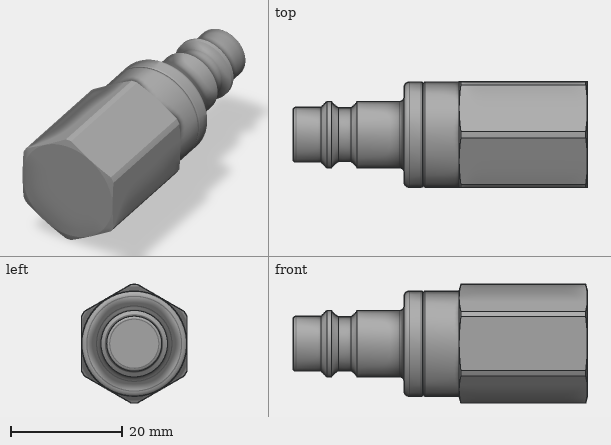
import cadquery as cq
import math

total_length = 53.0

tip_diameter = 9.9
tip_round = 0.55
plug_diameter = 12.0
neck_diameter = 9.75
tip_end = 5.05
rib_start = 6.1
rib_end = 6.9
neck_start = 8.15
neck_end = 10.45
plug_start = 11.55
shoulder_hollow = 0.1

collar_diameter = 19.0
collar_start = 20.0
collar_round = 0.95
plug_root_round = 0.8

groove_center = 23.4
groove_width = 0.2
groove_depth = 0.25
groove_mouth_width = 0.8
groove_lip_drop = 0.08

hex_start = 29.9
hex_across_flats = 19.1
hex_across_corners = 21.4
hex_chamfer_angle = 15.0


def turned_body():
    """Revolve the stepped plug and the collar about the X axis."""
    tip_radius = tip_diameter / 2
    plug_radius = plug_diameter / 2
    neck_radius = neck_diameter / 2
    collar_radius = collar_diameter / 2
    profile = (
        cq.Workplane("XY")
        .lineTo(0, tip_radius)
        .lineTo(tip_end, tip_radius)
        .lineTo(rib_start, plug_radius)
        .lineTo(rib_end, plug_radius)
        .sagittaArc((neck_start, neck_radius), -shoulder_hollow)
        .lineTo(neck_end, neck_radius)
        .sagittaArc((plug_start, plug_radius), -shoulder_hollow)
        .lineTo(collar_start, plug_radius)
        .lineTo(collar_start, collar_radius)
        .lineTo(hex_start, collar_radius)
        .lineTo(hex_start, 0)
        .close()
    )
    body = profile.revolve(360, (0, 0, 0), (1, 0, 0))
    body = round_edge(body, 0, tip_diameter, tip_round)
    body = round_edge(body, collar_start, plug_diameter, plug_root_round)
    return round_edge(body, collar_start, collar_diameter, collar_round)


def round_edge(body, x, diameter, radius):
    """Fillet the circular edge of the given diameter at position x."""
    tolerance = 0.005
    reach = diameter / 2 + tolerance
    inner = diameter / 2 - tolerance

    def is_wanted(edge):
        box = edge.BoundingBox()
        on_plane = max(abs(box.xmin - x), abs(box.xmax - x)) < tolerance
        return on_plane and inner < box.zmax < reach

    wanted = [edge for edge in body.edges().vals() if is_wanted(edge)]
    return body.newObject(wanted).fillet(radius)


def collar_groove():
    """Ring that cuts the groove and bevels its lips."""
    rim = collar_diameter / 2
    lip = rim - groove_lip_drop
    floor = rim - groove_depth
    half_width = groove_width / 2
    half_mouth = groove_mouth_width / 2
    outline = [
        (groove_center - half_mouth, rim),
        (groove_center - half_width, lip),
        (groove_center - half_width, floor),
        (groove_center + half_width, floor),
        (groove_center + half_width, lip),
        (groove_center + half_mouth, rim),
    ]
    return cq.Workplane("XY").polyline(outline).close().revolve(360, (0, 0, 0), (1, 0, 0))


def hexagon():
    """Hexagonal bar with corners turned round and conical chamfers at both ends."""
    length = total_length - hex_start
    sharp_corners = hex_across_flats / math.cos(math.radians(30))
    bar = (
        cq.Workplane("YZ", origin=(hex_start, 0, 0))
        .transformed(rotate=(0, 0, 90))
        .polygon(6, sharp_corners)
        .extrude(length)
    )
    corner_radius = hex_across_corners / 2
    end_radius = collar_diameter / 2
    chamfer_length = (corner_radius - end_radius) * math.tan(math.radians(hex_chamfer_angle))
    turned_limit = (
        cq.Workplane("XY")
        .polyline([
            (hex_start, 0),
            (hex_start, end_radius),
            (hex_start + chamfer_length, corner_radius),
            (total_length - chamfer_length, corner_radius),
            (total_length, end_radius),
            (total_length, 0),
        ])
        .close()
        .revolve(360, (0, 0, 0), (1, 0, 0))
    )
    return bar.intersect(turned_limit)


result = turned_body().cut(collar_groove()).union(hexagon())